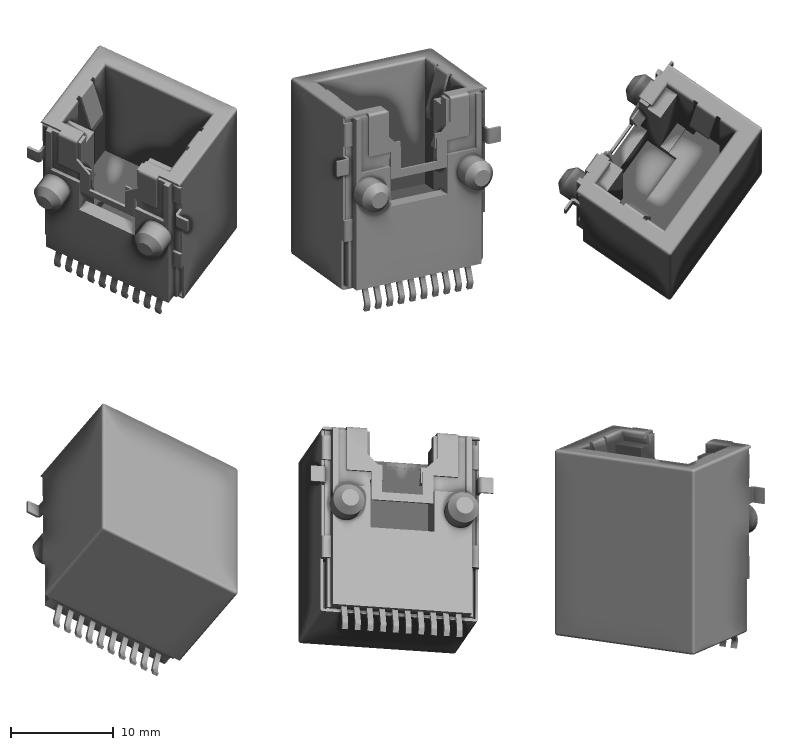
import cadquery as cq
import math


SHELL_WIDTH = 15.75
SHELL_DEPTH = 11.8
SHELL_HEIGHT = 18.7
SHEET = 0.25
BEND_RADIUS = 0.28
HALF_SHELL = SHELL_WIDTH / 2
SHELL_INNER_TOP = SHELL_HEIGHT - BEND_RADIUS
SHELL_TOP_FRONT = 0.58
SIDE_FRONT = 1.02
LOW_SIDE_FRONT = 1.41
LOW_SIDE_TOP = 5.36

HALF_HOUSING = 6.95
HALF_HOUSING_LOW = 7.27
HALF_HOUSING_UPPER = 7.54
SIDE_GAP_BACK = 2.4
HOUSING_BOTTOM = 0.33
HALF_RECESS = 6.39
RECESS_BOTTOM = 12.66
RECESS_DEPTH = 0.33

HALF_FLAP = 5.54
FLAP_SHOULDER = 14.23
HALF_FLAP_LEG = 3.1
FLAP_BOTTOM = 11.35
HALF_FLAP_SLOT = 3.5
FLAP_TAPER_TOP = 16.04
HALF_FLAP_NECK = 2.02
FLAP_TAPER_BOTTOM = 14.58
FLAP_NECK_BOTTOM = 12.17

HALF_CAVITY = 6.05
CAVITY_BACK = 9.82
CAVITY_FLOOR = 5.3
LIP_FRONT = 1.66
LIP_BOTTOM = 18.1
LIP_OVERHANG = 0.02
LEDGE_BACK = 2.88
LEDGE_TOP = 17.5
STEP_BACK = 3.88
STEP_TOP = 5.6

HALF_CHANNEL = 3.18
FRONT_WALL = 1.32
WINDOW_SILL = 8.47
WELL_BACK = 4.82
WELL_FLOOR = 4.3

STOP_INNER = 1.92
STOP_BOTTOM = 13.47
STOP_TOP = 15.05
STOP_LAND = 0.4
STOP_BACK = 1.16

SPRING_FRONT = 5.19
SPRING_BACK = 7.42
SPRING_SHOULDER = 5.92
SPRING_TIP = 4.84
SPRING_KNEE = 14.4
SPRING_TURN_BACK = 0.06
SPRING_BOTTOM = 13.5
POCKET_FRONT = 4.68
POCKET_BACK = 7.9
POCKET_HALF_SPACING = 6.85

FOLDED_TABS = ((LOW_SIDE_TOP, 7.58), (15.4, 17.86))
FOLD_RADIUS = 0.24
SOLDER_TAB = (12.84, 14.41)
SOLDER_TAB_SPAN = 18.2
SOLDER_BEND = 0.38

PEG_HEIGHT = 10.57
PEG_RADIUS = 1.55
PEG_TIP_RADIUS = 0.85
PEG_LENGTH = 2.45
PEG_TAPER = 0.69

LEAD_COUNT = 10
LEAD_PITCH = 1.27
LEAD_WIDTH = 0.55
LEAD_SHEET = 0.33
LEAD_BOTTOM = -2.15
LEAD_BEND_RADIUS = 0.87
LEAD_FRONT = -0.1
LEAD_BEND_HEIGHT = -1.385
LEAD_UPPER_ANGLE = 21.2
LEAD_LOWER_ANGLE = -17.0
LEAD_ROOT = 1.0
PEG_SPACING = (LEAD_COUNT - 1) * LEAD_PITCH

PAST = 1.0


def block(x_range, y_range, z_range):
    sizes = [high - low for low, high in (x_range, y_range, z_range)]
    corner = (x_range[0], y_range[0], z_range[0])
    return cq.Workplane("XY").box(*sizes, centered=False).translate(corner)


def centred_block(half_width, y_range, z_range):
    return block((-half_width, half_width), y_range, z_range)


def both_sides(solid):
    return solid.union(solid.mirror("YZ"))


def plate_from_front(points, y_front, y_back):
    """Plate with an X-Z outline, between two depths."""
    return cq.Workplane("XZ", origin=(0, y_front, 0)).polyline(points).close().extrude(y_front - y_back)


def mirrored_outline(right_half):
    left_half = [(-x, z) for x, z in reversed(right_half)]
    return right_half + left_half


def make_body():
    body = centred_block(HALF_SHELL, (0, SHELL_DEPTH), (0, SHELL_HEIGHT))
    body = body.edges("(|Z and >Y) or >Z or (<Z and (not <Y))").fillet(BEND_RADIUS)
    beyond = HALF_SHELL + PAST
    top_corner = block(
        (HALF_FLAP, beyond), (-PAST, SHELL_TOP_FRONT), (SHELL_INNER_TOP, SHELL_HEIGHT + PAST)
    )
    side_step = block((HALF_HOUSING, beyond), (-PAST, SIDE_FRONT), (-PAST, SHELL_INNER_TOP))
    low_side = block((HALF_HOUSING_LOW, beyond), (-PAST, LOW_SIDE_FRONT), (-PAST, LOW_SIDE_TOP))
    underside = centred_block(beyond, (-PAST, LOW_SIDE_FRONT), (-PAST, HOUSING_BOTTOM))
    inner = HALF_SHELL - SHEET
    side_gap = block((HALF_HOUSING_UPPER, inner), (-PAST, SIDE_GAP_BACK), (SHEET, SHELL_INNER_TOP))
    low_gap = block((HALF_HOUSING_LOW, inner), (-PAST, SIDE_GAP_BACK), (SHEET, LOW_SIDE_TOP))
    for cutter in (top_corner, side_step, low_side, side_gap, low_gap):
        body = body.cut(both_sides(cutter))
    return body.cut(underside)


def recess_around_flap():
    """Space in the housing front that the folded flap leaves open."""
    recess = centred_block(HALF_RECESS, (-PAST, RECESS_DEPTH), (RECESS_BOTTOM, SHELL_INNER_TOP))
    behind_leg = centred_block(
        HALF_CHANNEL, (-PAST, RECESS_DEPTH), (WINDOW_SILL, SHELL_INNER_TOP)
    )
    flap_outline = mirrored_outline([
        (HALF_FLAP, SHELL_HEIGHT),
        (HALF_FLAP, FLAP_SHOULDER),
        (HALF_FLAP_LEG, FLAP_SHOULDER),
        (HALF_FLAP_LEG, FLAP_BOTTOM),
    ])
    flap = plate_from_front(flap_outline, -PAST, SHEET)
    return recess.union(behind_leg).cut(flap)


def flap_slot():
    outline = mirrored_outline([
        (HALF_FLAP_SLOT, SHELL_HEIGHT + PAST),
        (HALF_FLAP_SLOT, FLAP_TAPER_TOP),
        (HALF_FLAP_NECK, FLAP_TAPER_BOTTOM),
        (HALF_FLAP_NECK, FLAP_NECK_BOTTOM),
    ])
    return plate_from_front(outline, -PAST, RECESS_DEPTH)


def plug_cavity():
    depth = (FRONT_WALL, CAVITY_BACK)
    cavity = centred_block(HALF_CAVITY, depth, (CAVITY_FLOOR, LIP_BOTTOM))
    ledge = centred_block(HALF_CAVITY, (FRONT_WALL, LEDGE_BACK), (CAVITY_FLOOR, LEDGE_TOP))
    step = centred_block(HALF_CAVITY, (FRONT_WALL, STEP_BACK), (CAVITY_FLOOR, STEP_TOP))
    pocket = block(
        (0, POCKET_HALF_SPACING), (POCKET_FRONT, POCKET_BACK), (CAVITY_FLOOR, SHELL_HEIGHT - SHEET)
    )
    groove = block(
        (HALF_CAVITY, POCKET_HALF_SPACING), (POCKET_FRONT, POCKET_BACK), (WELL_FLOOR, CAVITY_FLOOR)
    )
    return cavity.cut(ledge).cut(step).union(both_sides(pocket)).union(both_sides(groove))


def lip_opening():
    """Opening through the shell top, widening upward over its rolled lips."""
    half_opening = HALF_CAVITY - LIP_OVERHANG
    opening_back = CAVITY_BACK - LIP_OVERHANG
    opening = centred_block(half_opening, (LIP_FRONT, opening_back), (LIP_BOTTOM, SHELL_HEIGHT))
    half_rim = half_opening + BEND_RADIUS
    rim = centred_block(
        half_rim,
        (LIP_FRONT - BEND_RADIUS, opening_back + BEND_RADIUS),
        (SHELL_INNER_TOP, SHELL_HEIGHT),
    )
    rolls = []
    for x in (-half_rim, half_rim):
        rolls.append(lip_roll("XZ", (x, CAVITY_BACK + PAST, SHELL_INNER_TOP), CAVITY_BACK + PAST))
    for y in (LIP_FRONT - BEND_RADIUS, opening_back + BEND_RADIUS):
        rolls.append(lip_roll("YZ", (-HALF_SHELL, y, SHELL_INNER_TOP), SHELL_WIDTH))
    for roll in rolls:
        rim = rim.cut(roll)
    reliefs = block(
        (half_opening, half_rim), (POCKET_FRONT, POCKET_BACK), (SHELL_INNER_TOP, SHELL_HEIGHT)
    )
    return opening.union(rim).union(both_sides(reliefs))


def lip_roll(plane, origin, length):
    """Round bar whose upper half forms one rolled lip."""
    return cq.Workplane(plane, origin=origin).circle(BEND_RADIUS).extrude(length)


def latch_channel():
    channel = centred_block(HALF_CHANNEL, (SHEET, WELL_BACK), (WINDOW_SILL, SHELL_HEIGHT + PAST))
    well = centred_block(HALF_CHANNEL, (FRONT_WALL, WELL_BACK), (WELL_FLOOR, WINDOW_SILL))
    shell_slot = centred_block(
        HALF_FLAP_SLOT, (SHEET, LIP_FRONT), (SHELL_INNER_TOP, SHELL_HEIGHT + PAST)
    )
    lip_slot = centred_block(HALF_FLAP_SLOT, (FRONT_WALL, LIP_FRONT), (LIP_BOTTOM, SHELL_INNER_TOP))
    return channel.union(well).union(shell_slot).union(lip_slot)


def latch_stop():
    profile = [
        (SHEET, STOP_BOTTOM),
        (SHEET, STOP_TOP),
        (STOP_LAND, STOP_TOP),
        (STOP_BACK, STOP_BOTTOM),
    ]
    plane = cq.Workplane("YZ", origin=(STOP_INNER, 0, 0))
    return plane.polyline(profile).close().extrude(HALF_CHANNEL - STOP_INNER)


def contact_spring():
    root = HALF_CAVITY + BEND_RADIUS - LIP_OVERHANG
    profile = (
        cq.Workplane("XZ", origin=(0, SPRING_FRONT, 0))
        .moveTo(root + SHEET, SHELL_HEIGHT)
        .lineTo(root, SHELL_HEIGHT)
        .lineTo(SPRING_SHOULDER + BEND_RADIUS, SHELL_HEIGHT)
        .tangentArcPoint((SPRING_SHOULDER, SHELL_INNER_TOP), relative=False)
        .lineTo(SPRING_TIP, SPRING_KNEE)
        .lineTo(SPRING_TIP + SPRING_TURN_BACK, SPRING_BOTTOM)
        .lineTo(SPRING_TIP + SPRING_TURN_BACK + SHEET, SPRING_BOTTOM)
        .lineTo(SPRING_TIP + SHEET, SPRING_KNEE)
        .lineTo(SPRING_SHOULDER + SHEET, SHELL_HEIGHT - SHEET)
        .lineTo(root + SHEET, SHELL_HEIGHT - SHEET)
        .close()
    )
    return profile.extrude(SPRING_FRONT - SPRING_BACK)


def folded_tab(bottom, top):
    tab = block((HALF_HOUSING, HALF_SHELL), (SIDE_FRONT - SHEET, SIDE_FRONT), (bottom, top))
    return tab.edges("|Z and >X and <Y").fillet(FOLD_RADIUS)


def solder_tab():
    bottom, top = SOLDER_TAB
    inner = HALF_SHELL - SHEET
    tip = SOLDER_TAB_SPAN / 2
    upright = block((inner, HALF_SHELL), (0, SIDE_FRONT), (bottom, top))
    foot = block((inner, tip), (0, SHEET), (bottom, top))
    tab = upright.union(foot)
    tab = tab.edges("|Z and <X and <Y").fillet(SOLDER_BEND)
    inside_corner = cq.selectors.NearestToPointSelector((HALF_SHELL, SHEET, (bottom + top) / 2))
    return tab.edges("|Z").edges(inside_corner).fillet(SOLDER_BEND - SHEET)


def locating_peg():
    straight = PEG_LENGTH - PEG_TAPER
    profile = [
        (0, 0),
        (PEG_RADIUS, 0),
        (PEG_RADIUS, -straight),
        (PEG_TIP_RADIUS, -PEG_LENGTH),
        (0, -PEG_LENGTH),
    ]
    peg = cq.Workplane("XY").polyline(profile).close().revolve(360, (0, 0), (0, 1))
    return peg.translate((PEG_SPACING / 2, 0, PEG_HEIGHT))


def lead_point(radius, angle, z=None):
    """Point on the lead bend at an angle; with z, slid along the tangent there to that height."""
    turn = math.radians(angle)
    y = LEAD_FRONT + LEAD_BEND_RADIUS - radius * math.cos(turn)
    bend_z = LEAD_BEND_HEIGHT + radius * math.sin(turn)
    if z is None:
        return (y, bend_z)
    return (y + (z - bend_z) * math.tan(turn), z)


def solder_lead():
    outer = LEAD_BEND_RADIUS
    inner = LEAD_BEND_RADIUS - LEAD_SHEET
    middle = (LEAD_UPPER_ANGLE + LEAD_LOWER_ANGLE) / 2
    tip_turn = math.radians(LEAD_LOWER_ANGLE)
    tip_rise = -LEAD_SHEET * math.sin(tip_turn)
    profile = (
        cq.Workplane("YZ", origin=(-LEAD_WIDTH / 2, 0, 0))
        .moveTo(*lead_point(outer, LEAD_UPPER_ANGLE, LEAD_ROOT))
        .lineTo(*lead_point(outer, LEAD_UPPER_ANGLE))
        .threePointArc(lead_point(outer, middle), lead_point(outer, LEAD_LOWER_ANGLE))
        .lineTo(*lead_point(outer, LEAD_LOWER_ANGLE, LEAD_BOTTOM))
        .lineTo(*lead_point(inner, LEAD_LOWER_ANGLE, LEAD_BOTTOM + tip_rise))
        .lineTo(*lead_point(inner, LEAD_LOWER_ANGLE))
        .threePointArc(lead_point(inner, middle), lead_point(inner, LEAD_UPPER_ANGLE))
        .lineTo(*lead_point(inner, LEAD_UPPER_ANGLE, LEAD_ROOT))
        .close()
    )
    return profile.extrude(LEAD_WIDTH)


result = make_body()
for space in (recess_around_flap(), flap_slot(), plug_cavity(), lip_opening(), latch_channel()):
    result = result.cut(space)

side_parts = [latch_stop(), contact_spring(), solder_tab(), locating_peg()]
side_parts += [folded_tab(bottom, top) for bottom, top in FOLDED_TABS]
for part in side_parts:
    result = result.union(both_sides(part))

lead = solder_lead()
for index in range(LEAD_COUNT):
    result = result.union(lead.translate((index * LEAD_PITCH - PEG_SPACING / 2, 0, 0)))